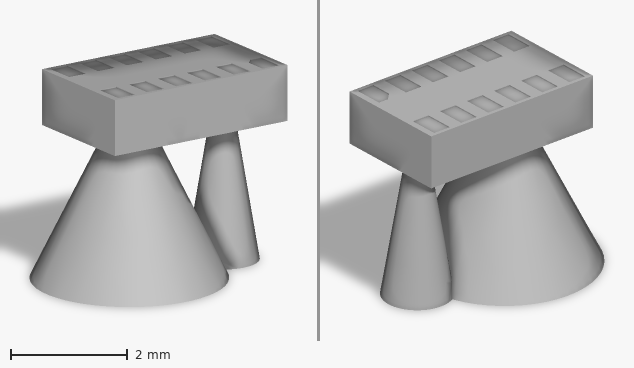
import cadquery as cq


package_width = 2.2
package_length = 3.605
package_height = 1.0
substrate_thickness = 0.21
cap_height = package_height - substrate_thickness

pads_per_column = 6
pad_width = 0.575
pad_length = 0.35
pad_depth = 0.02
pad_pitch = 0.6
pad_side_margin = 0.07
pad_column_x = package_width / 2 - pad_side_margin - pad_width / 2
first_pad_y = pad_pitch * (pads_per_column - 1) / 2
marker_chamfer = 0.15

cone_height = 2.65
wide_cone_y = -0.74
wide_cone_tip_radius = 0.413
wide_cone_base_radius = 1.715
narrow_cone_y = 1.205
narrow_cone_tip_radius = 0.2
narrow_cone_base_radius = 0.64


def make_cap():
    """Return the thick lower block of the package."""
    return cq.Workplane("XY").box(
        package_width, package_length, cap_height, centered=(True, True, False)
    )


def make_pad_recess(x, y):
    """Return the cutter for one pad, sunk from the outer face of the substrate."""
    return cq.Workplane("XY", origin=(x, y, package_height - pad_depth)).box(
        pad_width, pad_length, pad_depth, centered=(True, True, False)
    )


def make_substrate():
    """Return the thin upper plate with its pad recesses; one corner pad is chamfered as a marker."""
    substrate = cq.Workplane("XY", origin=(0, 0, cap_height)).box(
        package_width, package_length, substrate_thickness, centered=(True, True, False)
    )
    for column_x in (-pad_column_x, pad_column_x):
        for row in range(pads_per_column):
            recess = make_pad_recess(column_x, first_pad_y - row * pad_pitch)
            is_marker_pad = column_x > 0 and row == 0
            if is_marker_pad:
                recess = recess.edges("|Z and <X and <Y").chamfer(marker_chamfer)
            substrate = substrate.cut(recess)
    return substrate.solids()


def make_light_cone(centre_y, tip_radius, base_radius):
    """Return a truncated cone that widens downward from the cap."""
    profile = [
        (0, 0),
        (-tip_radius, 0),
        (-base_radius, -cone_height),
        (0, -cone_height),
    ]
    return (
        cq.Workplane("XZ", origin=(0, centre_y, 0))
        .polyline(profile)
        .close()
        .revolve(360, (0, 0), (0, 1))
    )


cap = make_cap()
substrate = make_substrate()
wide_cone = make_light_cone(wide_cone_y, wide_cone_tip_radius, wide_cone_base_radius)

narrow_cone = make_light_cone(
    narrow_cone_y, narrow_cone_tip_radius, narrow_cone_base_radius
).cut(wide_cone).solids()

result = cq.Compound.makeCompound(
    [cap.val(), substrate.val(), wide_cone.val(), narrow_cone.val()]
)